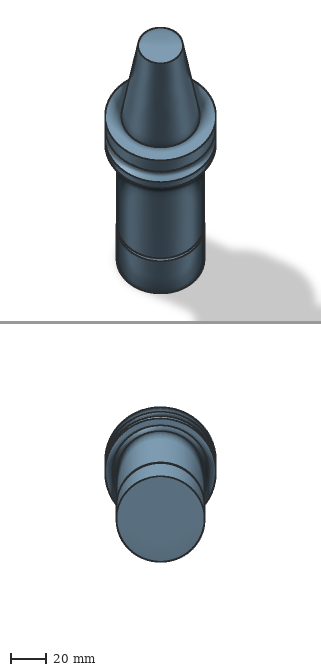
import cadquery as cq

total_length = 200.5

nut_diameter = 50.0
nut_height = 30.5

neck_diameter = 41.0
neck_height = 2.5
body_diameter = 49.7

flange_diameter = 63.0
groove_diameter = 53.0
under_cone_diameter = 55.0
under_cone_height = 3.0
lower_rim_height = 5.6
groove_side_height = 2.8
groove_floor_height = 4.5
upper_rim_height = 10.5

taper_length = 65.3
taper_collar_height = 1.2
taper_large_diameter = 44.5
taper_ratio = 7 / 24
taper_small_diameter = taper_large_diameter - taper_ratio * taper_length

gauge_z = total_length - taper_length
flange_top_z = gauge_z - taper_collar_height
upper_rim_z = flange_top_z - upper_rim_height
groove_top_z = upper_rim_z - groove_side_height
groove_bottom_z = groove_top_z - groove_floor_height
lower_rim_z = groove_bottom_z - groove_side_height
flange_bottom_z = lower_rim_z - lower_rim_height
body_top_z = flange_bottom_z - under_cone_height
body_bottom_z = nut_height + neck_height


def make_holder():
    """Neck, body, grooved flange and taper shank, revolved as one solid."""
    profile = [
        (neck_diameter, nut_height),
        (neck_diameter, body_bottom_z),
        (body_diameter, body_bottom_z),
        (body_diameter, body_top_z),
        (under_cone_diameter, flange_bottom_z),
        (flange_diameter, flange_bottom_z),
        (flange_diameter, lower_rim_z),
        (groove_diameter, groove_bottom_z),
        (groove_diameter, groove_top_z),
        (flange_diameter, upper_rim_z),
        (flange_diameter, flange_top_z),
        (taper_large_diameter, flange_top_z),
        (taper_large_diameter, gauge_z),
        (taper_small_diameter, total_length),
    ]
    outline = [(diameter / 2, z) for diameter, z in profile]
    axis_points = [(0, total_length), (0, nut_height)]
    return (
        cq.Workplane("XZ")
        .polyline(outline + axis_points)
        .close()
        .revolve(360, (0, 0), (0, 1))
    )


def make_nut():
    """Plain round nut under the neck."""
    return cq.Workplane("XY").circle(nut_diameter / 2).extrude(nut_height)


holder = make_holder()
nut = make_nut()

result = cq.Compound.makeCompound([holder.val(), nut.val()])